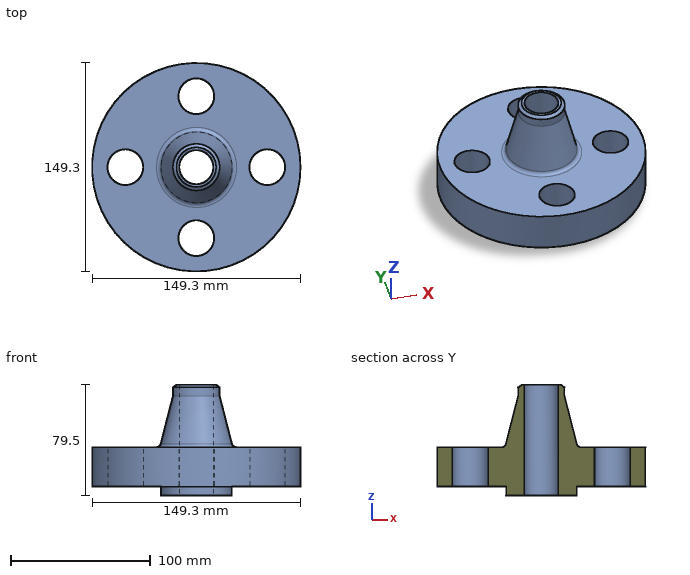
import cadquery as cq

flange_diameter = 149.3
flange_thickness = 28.4

face_diameter = 50.8
face_height = 6.4

overall_height = 79.5
hub_base_diameter = 52.3
neck_diameter = 33.5
neck_length = 7.9
weld_bevel_height = 2.0
weld_land_diameter = 28.4
hub_fillet_radius = 3.3

bore_diameter = 24.2
bolt_hole_diameter = 25.4
bolt_circle_diameter = 101.5
bolt_count = 4

flange_bottom = face_height
flange_top = flange_bottom + flange_thickness
neck_bottom = overall_height - neck_length
bevel_bottom = overall_height - weld_bevel_height


def make_disc():
    """Sealing face and flange disc, stacked on the common axis."""
    face = cq.Workplane("XY").circle(face_diameter / 2).extrude(face_height)
    disc = (
        cq.Workplane("XY")
        .workplane(offset=flange_bottom)
        .circle(flange_diameter / 2)
        .extrude(flange_thickness)
    )
    return face.union(disc)


def make_hub():
    """Tapered hub ending in a short straight neck with a weld bevel."""
    half_profile = (
        cq.Workplane("XZ")
        .moveTo(0, flange_top)
        .lineTo(hub_base_diameter / 2, flange_top)
        .lineTo(neck_diameter / 2, neck_bottom)
        .lineTo(neck_diameter / 2, bevel_bottom)
        .lineTo(weld_land_diameter / 2, overall_height)
        .lineTo(0, overall_height)
        .close()
    )
    return half_profile.revolve(360, (0, 0, 0), (0, 1, 0))


def fillet_hub_root(body):
    """Round the inside corner where the hub meets the disc."""
    root_radius = hub_base_diameter / 2
    margin = 0.1
    around_root = cq.selectors.BoxSelector(
        (-root_radius - margin, -root_radius - margin, flange_top - margin),
        (root_radius + margin, root_radius + margin, flange_top + margin),
        boundingbox=True,
    )
    return body.edges(around_root).fillet(hub_fillet_radius)


def make_bore():
    return cq.Workplane("XY").circle(bore_diameter / 2).extrude(overall_height)


def make_bolt_holes():
    """Through holes on the bolt circle, starting on the X axis."""
    return (
        cq.Workplane("XY")
        .workplane(offset=flange_bottom)
        .polarArray(bolt_circle_diameter / 2, 0, 360, bolt_count)
        .circle(bolt_hole_diameter / 2)
        .extrude(flange_thickness)
    )


body = fillet_hub_root(make_disc().union(make_hub()))
result = body.cut(make_bore()).cut(make_bolt_holes())